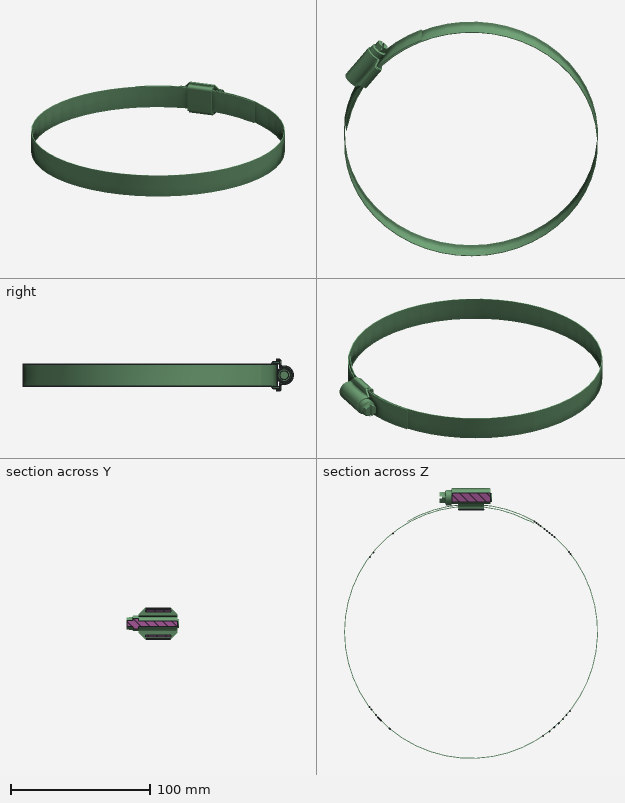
import cadquery as cq
import math


ring_radius = 91.19
band_thickness = 0.6
band_width = 16.0
layer_gap = 0.1
tongue_radius = 90.5
tip_lift = 0.35
lap_start_angle = 120.0
lap_end_angle = 60.5
ring_start_angle = 55.0
tongue_start_angle = -180.0
tongue_end_angle = 62.6 - 360.0
tip_start_angle = 61.5 - 360.0
tip_end_angle = 59.5 - 360.0

housing_length = 27.8
housing_width = 23.0
sheet = 1.1
overall_depth = 194.39
crown_radius = 6.7
crown_top = overall_depth - ring_radius
screw_axis = crown_top - crown_radius
flange_top = 94.3
lip_bottom = 91.0
lip_length = 18.2
lip_bend_radius = 1.6
flange_root_fillet = 0.8
rim_fillet = 0.5

saddle_length = 18.4
saddle_width = 19.8
saddle_bottom = 87.5
saddle_clearance = 0.1
saddle_bend_radius = 2.0

head_start = -22.7
collar_start = -18.0
housing_end = housing_length / 2
end_pin_length = 1.1
head_across_flats = 8.0
slot_width = 1.2
slot_depth = 2.0
collar_radius = 5.6
collar_cone_length = 0.6
shank_radius = 4.5
end_pin_radius = 3.15


def arc_point(centre_x, radius, angle):
    turn = math.radians(angle)
    return centre_x + radius * math.cos(turn), radius * math.sin(turn)


def build_band():
    """Strip of arcs (centre X, inner radius, start and end angle) joined by straight steps."""
    ring_inner = ring_radius - band_thickness
    lap_inner = ring_radius + layer_gap
    tongue_inner = tongue_radius - band_thickness
    tongue_centre = tongue_radius - ring_radius
    arcs = [
        (0, lap_inner, lap_start_angle, lap_end_angle),
        (0, ring_inner, ring_start_angle, tongue_start_angle),
        (tongue_centre, tongue_inner, tongue_start_angle, tongue_end_angle),
        (tongue_centre, tongue_inner + tip_lift, tip_start_angle, tip_end_angle),
    ]
    same_point = 1e-6
    outline = cq.Workplane("XY", origin=(0, 0, -band_width / 2))
    outline = outline.moveTo(*arc_point(0, lap_inner, lap_start_angle))
    outer_side = [(centre, inner + band_thickness, start, end) for centre, inner, start, end in arcs]
    inner_side = [(centre, inner, end, start) for centre, inner, start, end in reversed(arcs)]
    position = arc_point(0, lap_inner, lap_start_angle)
    for centre, radius, start, end in outer_side + inner_side:
        arc_start = arc_point(centre, radius, start)
        if math.dist(position, arc_start) > same_point:
            outline = outline.lineTo(*arc_start)
        position = arc_point(centre, radius, end)
        outline = outline.threePointArc(arc_point(centre, radius, (start + end) / 2), position)
    return outline.close().extrude(band_width)


def centred_box(length, y_low, y_high, width):
    return cq.Workplane("XY").box(length, y_high - y_low, width).translate((0, (y_low + y_high) / 2, 0))


def x_cylinder(radius, x_start, x_end):
    return cq.Workplane("YZ", origin=(x_start, screw_axis, 0)).circle(radius).extrude(x_end - x_start)


def arch(radius, y_low):
    """Half-round bar along X with straight legs down to y_low."""
    legs = centred_box(housing_length, y_low, screw_axis, 2 * radius)
    return x_cylinder(radius, -housing_end, housing_end).union(legs)


def build_housing():
    flange_bottom = flange_top - sheet
    body = arch(crown_radius, flange_bottom)
    flange = centred_box(housing_length, lip_bottom, flange_top, housing_width)
    flange = flange.edges("|X and >Y").fillet(lip_bend_radius)
    body = body.union(flange)
    margin = 0.1
    root_edges = cq.selectors.BoxSelector(
        (-housing_length, flange_top - margin, -crown_radius - margin),
        (housing_length, flange_top + margin, crown_radius + margin),
    )
    body = body.edges("|X").edges(root_edges).fillet(flange_root_fillet)

    hollow = centred_box(housing_length, lip_bottom, flange_bottom, housing_width - 2 * sheet)
    hollow = hollow.edges("|X and >Y").fillet(lip_bend_radius - sheet)
    body = body.cut(hollow).cut(arch(crown_radius - sheet, lip_bottom))

    corner = (housing_length - lip_length) / 2
    outline = centred_box(housing_length, lip_bottom, crown_top, housing_width)
    body = body.intersect(outline.edges("|Y").chamfer(corner))
    lip_room = centred_box(housing_length, lip_bottom, flange_bottom, housing_width)
    lip_room = lip_room.cut(centred_box(lip_length, lip_bottom, flange_bottom, housing_width))
    body = body.cut(lip_room)
    for end_face in ("<X", ">X"):
        body = body.faces(end_face).edges(">Y").fillet(rim_fillet)
    return body


def build_saddle():
    saddle_top = flange_top - sheet
    channel = centred_box(saddle_length, saddle_bottom, saddle_top, saddle_width)
    channel = channel.edges("|X and <Y").fillet(saddle_bend_radius)
    inside = centred_box(saddle_length, saddle_bottom + sheet, saddle_top, band_width + 2 * saddle_clearance)
    inside = inside.edges("|X and <Y").fillet(saddle_bend_radius - sheet)
    return channel.cut(inside)


def build_screw():
    across_corners = head_across_flats / math.cos(math.pi / 6)
    head = cq.Workplane("YZ", origin=(head_start, screw_axis, 0))
    head = head.transformed(rotate=(0, 0, 90)).polygon(6, across_corners)
    head = head.extrude(collar_start - head_start)
    slot = cq.Workplane("XY").box(slot_depth, slot_width, across_corners)
    head = head.cut(slot.translate((head_start + slot_depth / 2, screw_axis, 0)))
    collar = x_cylinder(collar_radius, collar_start, -housing_end)
    cone = cq.Solid.makeCone(
        head_across_flats / 2, collar_radius, collar_cone_length,
        pnt=cq.Vector(collar_start - collar_cone_length, screw_axis, 0), dir=cq.Vector(1, 0, 0),
    )
    shank = x_cylinder(shank_radius, -housing_end, housing_end)
    end_pin = x_cylinder(end_pin_radius, housing_end, housing_end + end_pin_length)
    return head.union(cq.Workplane(cone)).union(collar).union(shank).union(end_pin)


band = build_band()
housing = build_housing()
saddle = build_saddle()
screw = build_screw()

bodies = [band, housing, saddle, screw]
result = cq.Compound.makeCompound([body.solids().val() for body in bodies])